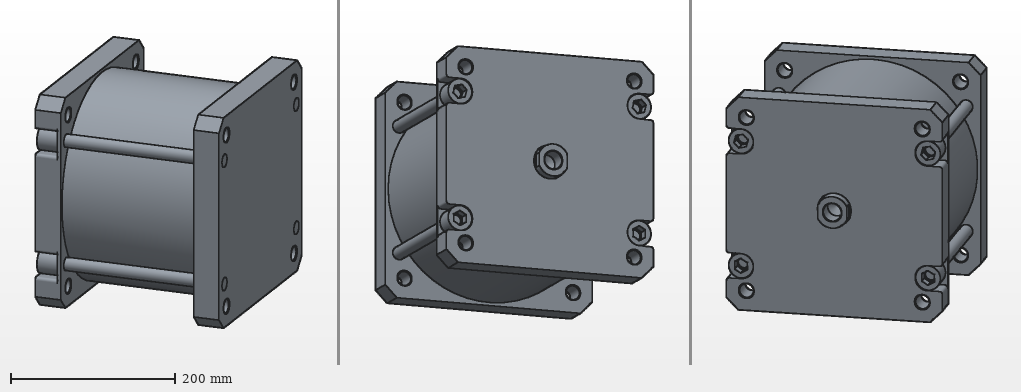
import cadquery as cq
import math


front_plate_thickness = 33.8
barrel_length = 174.5
rear_plate_thickness = 33.2
barrel_start = front_plate_thickness
rear_plate_start = barrel_start + barrel_length
rear_face = rear_plate_start + rear_plate_thickness

plate_side = 270
corner_chamfer = 15.0
mounting_hole_diameter = 17.3
mounting_hole_chamfer = 1.0
mounting_hole_offset = 110.0

barrel_diameter = 262.5

rod_diameter = 40.0
rod_protrusion = 11.5
rod_across_flats = 36.5
flat_to_plate = 1.0
rod_bore_diameter = 22.5
rod_bore_chamfer = 0.8
rod_bore_depth = 24.3
drill_tip_angle = 118
rod_hole_diameter = 42.0

tie_rod_offset_y = 117.0
tie_rod_offset_z = 79.0
tie_rod_diameter = 16.5
head_diameter = 30.8
head_recess = 1.0
socket_across_flats = 16.0
socket_depth = 13.5
socket_floor_hole_diameter = 14.0
socket_floor_hole_depth = 2.7
upper_socket_turn = 45
lower_socket_turn = 30
pocket_width = 31.9
pocket_depth = 29.2
pocket_edge_radius = 3.8

tie_rod_positions = [
    (side_y * tie_rod_offset_y, side_z * tie_rod_offset_z)
    for side_y in (-1, 1)
    for side_z in (-1, 1)
]


def axial_plane(x):
    """Sketch plane across the axis at x: local axes are Y and Z, the normal is +X."""
    return cq.Workplane("YZ", origin=(x, 0, 0))


def make_chamfered_hole(start, length):
    """Cutter for a round hole between two faces, chamfered where it meets each face."""
    radius = mounting_hole_diameter / 2
    mouth_radius = radius + mounting_hole_chamfer
    end = start + length
    return (
        cq.Workplane("XY")
        .moveTo(start, 0)
        .lineTo(start, mouth_radius)
        .lineTo(start + mounting_hole_chamfer, radius)
        .lineTo(end - mounting_hole_chamfer, radius)
        .lineTo(end, mouth_radius)
        .lineTo(end, 0)
        .close()
        .revolve(360, (0, 0, 0), (1, 0, 0))
    )


def make_plate(start, thickness):
    """Square plate with chamfered corners, mounting holes and tie rod holes."""
    plate = (
        axial_plane(start)
        .rect(plate_side, plate_side)
        .extrude(thickness)
        .edges("|X")
        .chamfer(corner_chamfer)
    )
    mounting_hole = make_chamfered_hole(start, thickness)
    for side_y in (-1, 1):
        for side_z in (-1, 1):
            hole_place = (0, side_y * mounting_hole_offset, side_z * mounting_hole_offset)
            plate = plate.cut(mounting_hole.translate(hole_place))
    tie_rod_holes = (
        axial_plane(start)
        .pushPoints(tie_rod_positions)
        .circle(tie_rod_diameter / 2)
        .extrude(thickness)
    )
    return plate.cut(tie_rod_holes)


def make_head_pocket(center_y, center_z):
    """Slot round a tie rod head, running out through the side with rounded mouth edges."""
    side = math.copysign(1, center_y)
    half_width = pocket_width / 2
    edge_y = side * plate_side / 2
    straight_end_y = edge_y - side * pocket_edge_radius
    mouth_half_width = half_width + pocket_edge_radius
    arc_inset = pocket_edge_radius * math.sqrt(0.5)
    arc_mid_y = straight_end_y + side * arc_inset
    arc_mid_half_width = mouth_half_width - arc_inset
    return (
        axial_plane(0)
        .moveTo(center_y, center_z + half_width)
        .lineTo(straight_end_y, center_z + half_width)
        .threePointArc((arc_mid_y, center_z + arc_mid_half_width), (edge_y, center_z + mouth_half_width))
        .lineTo(edge_y, center_z - mouth_half_width)
        .threePointArc((arc_mid_y, center_z - arc_mid_half_width), (straight_end_y, center_z - half_width))
        .lineTo(center_y, center_z - half_width)
        .threePointArc((center_y - side * half_width, center_z), (center_y, center_z + half_width))
        .close()
        .extrude(pocket_depth)
    )


def make_front_plate():
    """Plate with the piston rod hole and the pockets for the tie rod heads."""
    plate = make_plate(0, front_plate_thickness)
    plate = plate.cut(axial_plane(0).circle(rod_hole_diameter / 2).extrude(front_plate_thickness))
    for center_y, center_z in tie_rod_positions:
        plate = plate.cut(make_head_pocket(center_y, center_z))
    return plate


def make_barrel():
    return axial_plane(barrel_start).circle(barrel_diameter / 2).extrude(barrel_length)


def make_piston_rod():
    """Rod ending on the barrel, with two wrench flats and a drilled hole in its tip."""
    tip = -rod_protrusion
    rod = axial_plane(tip).circle(rod_diameter / 2).extrude(rod_protrusion + front_plate_thickness)

    flat_length = rod_protrusion - flat_to_plate
    flats = (
        axial_plane(tip)
        .rect(2 * rod_diameter, 2 * rod_diameter)
        .rect(rod_across_flats, 2 * rod_diameter)
        .extrude(flat_length)
    )

    bore_radius = rod_bore_diameter / 2
    drill_tip_length = bore_radius / math.tan(math.radians(drill_tip_angle / 2))
    bore_end = tip + rod_bore_depth
    bore = (
        cq.Workplane("XY")
        .moveTo(tip, 0)
        .lineTo(tip, bore_radius + rod_bore_chamfer)
        .lineTo(tip + rod_bore_chamfer, bore_radius)
        .lineTo(bore_end, bore_radius)
        .lineTo(bore_end + drill_tip_length, 0)
        .close()
        .revolve(360, (0, 0, 0), (1, 0, 0))
    )
    return rod.cut(flats).cut(bore)


def make_socket(turn):
    """Cutter for a hexagon socket turned about its axis, with a round hole in its floor."""
    across_corners = socket_across_flats / math.cos(math.radians(30))
    hexagon = (
        axial_plane(head_recess)
        .polygon(6, across_corners)
        .extrude(socket_depth)
        .rotate((0, 0, 0), (1, 0, 0), turn)
    )
    floor_hole = (
        axial_plane(head_recess)
        .circle(socket_floor_hole_diameter / 2)
        .extrude(socket_depth + socket_floor_hole_depth)
    )
    return hexagon.union(floor_hole)


def make_tie_rod(center_y, center_z):
    """Long socket head screw reaching from its pocket to the rear face."""
    head = axial_plane(head_recess).circle(head_diameter / 2).extrude(pocket_depth - head_recess)
    shank = axial_plane(pocket_depth).circle(tie_rod_diameter / 2).extrude(rear_face - pocket_depth)
    socket_turn = upper_socket_turn if center_z > 0 else lower_socket_turn
    tie_rod = head.union(shank).cut(make_socket(socket_turn))
    return tie_rod.translate((0, center_y, center_z))


front_plate = make_front_plate()
rear_plate = make_plate(rear_plate_start, rear_plate_thickness)
barrel = make_barrel()
piston_rod = make_piston_rod()
tie_rods = [make_tie_rod(center_y, center_z) for center_y, center_z in tie_rod_positions]

result = cq.Compound.makeCompound([
    front_plate.val(),
    rear_plate.val(),
    barrel.val(),
    piston_rod.val(),
    *[tie_rod.val() for tie_rod in tie_rods],
])